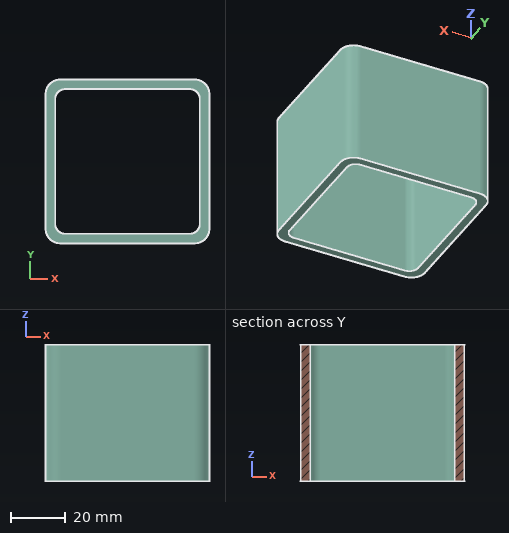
import cadquery as cq

side = 60.0
height = 50.0
wall = 3.6
outer_radius = 5.45
inner_radius = 3.6
bore_side = side - 2 * wall


def rounded_square_prism(width, corner_radius):
    """Square prism centred on the origin with rounded vertical edges."""
    return cq.Workplane("XY").box(width, width, height).edges("|Z").fillet(corner_radius)


outer_body = rounded_square_prism(side, outer_radius)
bore = rounded_square_prism(bore_side, inner_radius)

result = outer_body.cut(bore)